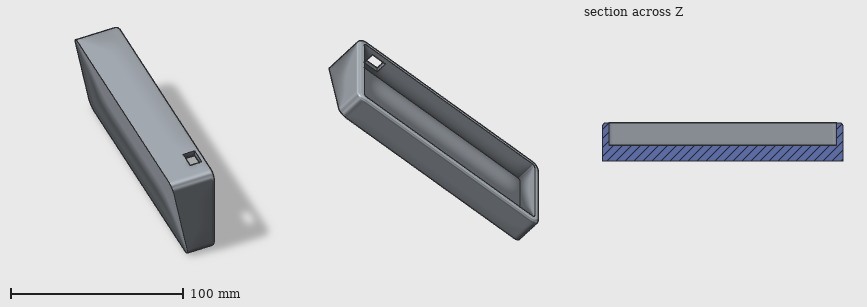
import cadquery as cq

width = 140.0
height = 60.0
depth_top = 27.5
depth_bottom = 17.0

wall = 4.0
corner_radius = 6.0
inner_corner_radius = corner_radius - wall
back_edge_radius = 2.0

cavity_depth = depth_bottom - wall

port_width = 10.0
port_depth = 7.3
port_from_right = 13.0
port_from_back = 3.0

right = width / 2
top = height / 2


def rounded_bar(bar_width, bar_height, radius, length):
    """Bar with a round-cornered section, running from the back plane along -Y."""
    return (
        cq.Workplane("XZ")
        .rect(bar_width, bar_height)
        .extrude(length)
        .edges("|Y")
        .fillet(radius)
    )


def wedge():
    """Side profile of the enclosure swept across its full width."""
    return (
        cq.Workplane("YZ")
        .polyline([
            (0, -top),
            (0, top),
            (-depth_top, top),
            (-depth_bottom, -top),
        ])
        .close()
        .extrude(right, both=True)
    )


def outer_body():
    """Solid envelope: rounded bar with a softened back rim, trimmed by the sloping front."""
    bar = rounded_bar(width, height, corner_radius, depth_top)
    bar = bar.faces(">Y").edges().fillet(back_edge_radius)
    return bar.intersect(wedge())


def cavity():
    """Hollow opening at the back, one wall thickness inside the outline."""
    return rounded_bar(width - 2 * wall, height - 2 * wall, inner_corner_radius, cavity_depth)


def cable_port():
    """Cutter that runs down through the top wall into the cavity."""
    x_centre = right - port_from_right - port_width / 2
    y_centre = -port_from_back - port_depth / 2
    return (
        cq.Workplane("XY", origin=(x_centre, y_centre, top))
        .rect(port_width, port_depth)
        .extrude(-wall)
    )


result = outer_body().cut(cavity()).cut(cable_port())